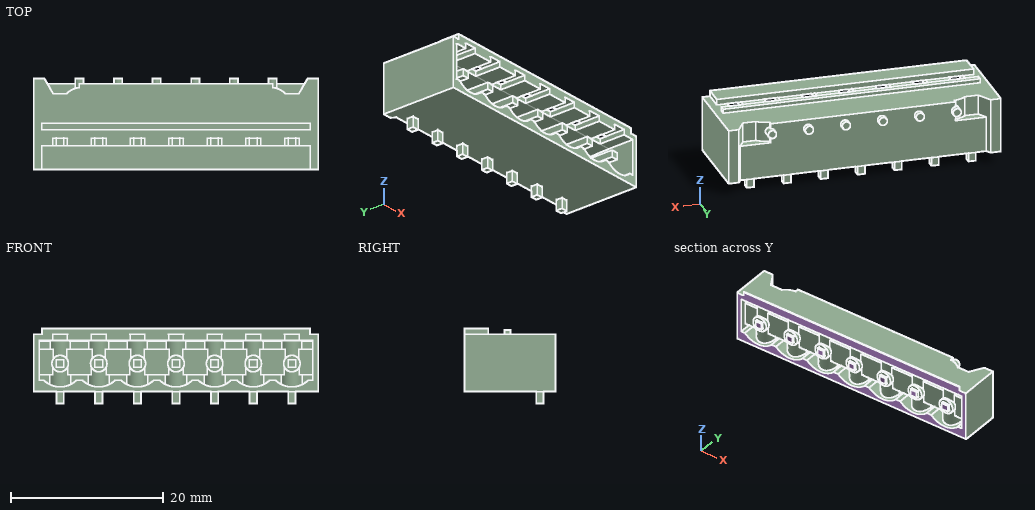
import cadquery as cq
import math


pole_count = 7
pole_row_length = 30.5
pole_pitch = pole_row_length / (pole_count - 1)
pole_z = 3.7
pole_x = [(i - (pole_count - 1) / 2) * pole_pitch for i in range(pole_count)]
gap_x = [(left + right) / 2 for left, right in zip(pole_x, pole_x[1:])]

width = 37.45
depth = 12
height = 7.55
rear_face_y = 11.3

ridge_length = 35.32
hood_depth = 3.15
hood_height = 0.8
bar_front_y = 5.25
bar_depth = 0.82
bar_height = 0.55

side_wall = 0.7
cavity_floor_z = 1.55
cavity_roof_z = 6.78
cavity_roof_drop = 0.1
cavity_depth = 7.85
cavity_width = width - 2 * side_wall
scallop_radius = 3.07
roof_slot_width = 1.9
roof_slot_depth = 4.12

block_bottom_z = 2.25
block_top_z = 5.6
block_thickness = 0.97
lower_post_radius = 1.4
upper_post_radius = 1.3
collar_radius = 1.1
collar_length = 1.57

recess_floor_z = 4.87
recess_front_y = 10.0
recess_step_y = 10.8
recess_tip_x = 17.3
recess_outer_x = 16.2
recess_inner_x = 14.4
recess_arc_mid_x = 13.65
recess_arc_mid_y = 10.53
peg_radius = 0.55
peg_z = 6.3
peg_root_y = 10.5

pin_size = 1.0
pin_tip_y = 0.82
leg_y = 9.93
leg_drop = 1.57


def box(x_size, y_range, z_range, x_centre=0):
    """Box centred on x_centre, reaching between the given Y and Z limits."""
    y_start, y_end = y_range
    z_start, z_end = z_range
    solid = cq.Workplane("XY").box(x_size, y_end - y_start, z_end - z_start, centered=(True, False, False))
    return solid.translate((x_centre, y_start, z_start))


def rod_along_y(radius, x, z, y_start, y_end):
    """Round rod parallel to Y."""
    rod = cq.Workplane("XZ").circle(radius).extrude(-(y_end - y_start))
    return rod.translate((x, y_start, z))


def pin(x):
    """L-shaped square pin: a contact along Y and a solder leg going down."""
    half = pin_size / 2
    outline = [
        (pin_tip_y, pole_z - half),
        (leg_y - half, pole_z - half),
        (leg_y - half, -leg_drop),
        (leg_y + half, -leg_drop),
        (leg_y + half, pole_z + half),
        (pin_tip_y, pole_z + half),
    ]
    return cq.Workplane("YZ").polyline(outline).close().extrude(pin_size).translate((x - half, 0, 0))


def shell():
    """Outer block with the hood over the cavity mouth and the bar behind it."""
    hood_top_z = height + hood_height
    body = box(width, (0, depth), (0, height))
    body = body.union(box(ridge_length, (0, hood_depth), (cavity_roof_z, hood_top_z)))
    bar = box(ridge_length, (bar_front_y, bar_front_y + bar_depth), (height, height + bar_height))
    return body.union(bar)


def cavity():
    """Cavity space with a scalloped floor and a roof that is slotted over every pole, then slopes down."""
    inner_roof_z = cavity_roof_z - cavity_roof_drop
    profile = [
        (0, cavity_floor_z),
        (cavity_depth, cavity_floor_z),
        (cavity_depth, inner_roof_z),
        (roof_slot_depth, cavity_roof_z),
        (0, cavity_roof_z),
    ]
    space = cq.Workplane("YZ").polyline(profile).close().extrude(cavity_width / 2, both=True)
    scallop_bottom_z = pole_z - scallop_radius
    scallop_half_width = math.sqrt(scallop_radius**2 - (pole_z - cavity_floor_z) ** 2)
    for x in pole_x:
        scallop = (
            cq.Workplane("XZ")
            .moveTo(x - scallop_half_width, cavity_floor_z)
            .threePointArc((x, scallop_bottom_z), (x + scallop_half_width, cavity_floor_z))
            .close()
            .extrude(-cavity_depth)
        )
        slot = box(roof_slot_width, (0, roof_slot_depth), (cavity_roof_z, height), x)
        space = space.union(scallop).union(slot)
    return space


def back_wall_relief():
    """Raised band on the cavity's back wall, with a post and a collar at every pole."""
    relief = box(cavity_width, (cavity_depth - block_thickness, cavity_depth), (block_bottom_z, block_top_z))
    for x in pole_x:
        lower_post = cq.Workplane("XY").center(x, cavity_depth).circle(lower_post_radius).extrude(pole_z)
        upper_post = (
            cq.Workplane("XY", origin=(x, cavity_depth, pole_z))
            .circle(upper_post_radius)
            .extrude(cavity_roof_z - pole_z)
        )
        collar = rod_along_y(collar_radius, x, pole_z, cavity_depth - collar_length, cavity_depth)
        relief = relief.union(lower_post).union(upper_post).union(collar)
    return relief.intersect(box(width, (0, cavity_depth), (0, height)))


def flank_y_to_x(y):
    """Half width of the rear opening where the sloping flank of a recess crosses the given Y."""
    fraction = (y - recess_front_y) / (depth - recess_front_y)
    return recess_outer_x + fraction * (recess_tip_x - recess_outer_x)


def rear_opening():
    """Space between the rear ends of the side walls, behind the rear face."""
    half = flank_y_to_x(rear_face_y)
    outline = [(-half, rear_face_y), (half, rear_face_y), (recess_tip_x, depth), (-recess_tip_x, depth)]
    return cq.Workplane("XY").polyline(outline).close().extrude(height)


def corner_recess():
    """Recess in the roof's right rear corner, from the side wall to the outermost peg."""
    step_x = gap_x[-1]
    return (
        cq.Workplane("XY", origin=(0, 0, recess_floor_z))
        .moveTo(flank_y_to_x(rear_face_y), rear_face_y)
        .lineTo(recess_outer_x, recess_front_y)
        .lineTo(recess_inner_x, recess_front_y)
        .threePointArc((recess_arc_mid_x, recess_arc_mid_y), (step_x, recess_step_y))
        .lineTo(step_x, rear_face_y)
        .close()
        .extrude(height - recess_floor_z)
    )


def make_housing(pins):
    """Housing with its cavity, rear recesses and pegs, and a matching hole for every pin."""
    body = shell().cut(cavity()).union(back_wall_relief())
    right_recess = corner_recess()
    body = body.cut(rear_opening()).cut(right_recess).cut(right_recess.mirror("YZ"))
    for x in gap_x:
        body = body.union(rod_along_y(peg_radius, x, peg_z, peg_root_y, depth))
    for fitted_pin in pins:
        body = body.cut(fitted_pin)
    return body


pins = [pin(x) for x in pole_x]
housing = make_housing(pins)

result = cq.Compound.makeCompound([housing.val(), *[fitted_pin.val() for fitted_pin in pins]])